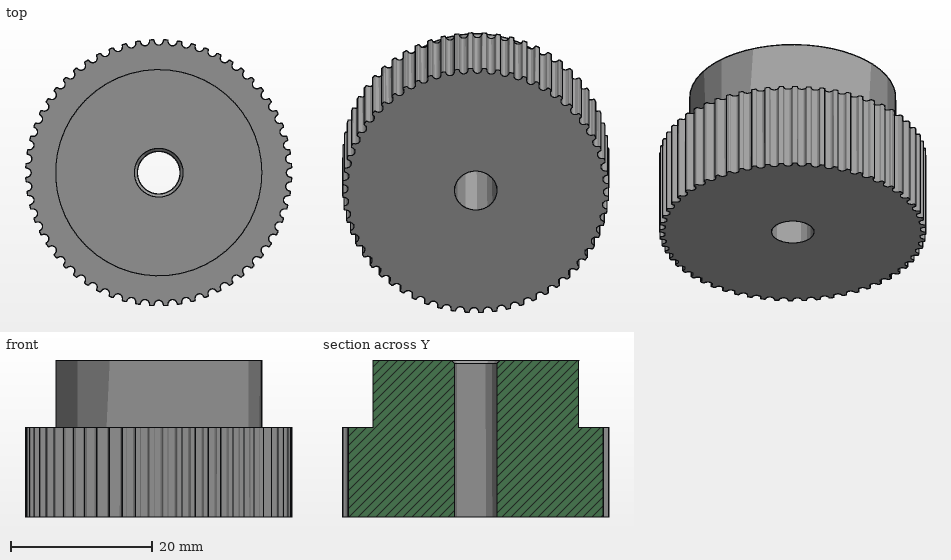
import math

import cadquery as cq

tooth_count = 60
rim_diameter = 37.7
rim_height = 12.7

groove_depth = 0.77
flank_radius = 1.0
flank_center_offset = 0.35
tip_fillet = 0.15

hub_diameter = 29.2
total_height = 22.2
bore_diameter = 6.0
bore_chamfer = 0.45

rim_radius = rim_diameter / 2
hub_height = total_height - rim_height
tooth_angle = 2 * math.pi / tooth_count

bottom_radius = (flank_radius**2 - flank_center_offset**2 - groove_depth**2) / (
    2 * (flank_radius - groove_depth)
)


def polar(radius, angle, center=(0, 0)):
    """Point at a radius and angle (radians) from a centre."""
    return center[0] + radius * math.cos(angle), center[1] + radius * math.sin(angle)


def half_groove_points():
    """Points of the +Y half of the groove centred on +X, from the tooth tip to the groove bottom.

    They are the ends and middles of three tangent arcs: corner fillet, flank and groove bottom.
    """
    flank_center = (rim_radius, -flank_center_offset)

    center_radius = rim_radius - tip_fillet
    center_distance = math.hypot(*flank_center)
    angle_at_axis = math.acos(
        (center_radius**2 + center_distance**2 - (flank_radius + tip_fillet) ** 2)
        / (2 * center_radius * center_distance)
    )
    fillet_start_angle = math.atan2(flank_center[1], flank_center[0]) + angle_at_axis
    fillet_center = polar(center_radius, fillet_start_angle)

    flank_start_angle = math.atan2(fillet_center[1] - flank_center[1], fillet_center[0] - flank_center[0])
    flank_end_angle = math.atan2(flank_center_offset, bottom_radius - groove_depth)
    fillet_end_angle = flank_start_angle - math.pi
    return [
        polar(rim_radius, fillet_start_angle),
        polar(tip_fillet, (fillet_start_angle + fillet_end_angle) / 2, fillet_center),
        polar(flank_radius, flank_start_angle, flank_center),
        polar(flank_radius, (flank_start_angle + flank_end_angle) / 2, flank_center),
        polar(flank_radius, flank_end_angle, flank_center),
        (rim_radius - groove_depth, 0),
    ]


def turned(point, angle):
    """The point rotated about the part axis."""
    return polar(math.hypot(*point), math.atan2(point[1], point[0]) + angle)


def toothed_rim():
    """Extruded tooth outline, with the first groove centred on the +X axis."""
    upper_half = half_groove_points()
    lower_half = [(x, -y) for x, y in upper_half]
    groove = lower_half + upper_half[-2::-1]
    start = groove[0]
    outline = cq.Workplane("XY").moveTo(*start)
    for index in range(tooth_count):
        angle = index * tooth_angle
        for middle, end in zip(groove[1::2], groove[2::2]):
            outline = outline.threePointArc(turned(middle, angle), turned(end, angle))
        tip_middle = polar(rim_radius, angle + tooth_angle / 2)
        outline = outline.threePointArc(tip_middle, turned(start, angle + tooth_angle))
    return outline.close().extrude(rim_height)


def hub():
    """Plain round hub standing on the top of the rim."""
    return cq.Workplane("XY").workplane(offset=rim_height).circle(hub_diameter / 2).extrude(hub_height)


def add_bore(body):
    """Through bore, chamfered at the hub end."""
    bored = body.faces(">Z").workplane().hole(bore_diameter)
    bore_rim = cq.selectors.RadiusNthSelector(0)
    return bored.faces(">Z").edges(bore_rim).chamfer(bore_chamfer)


result = add_bore(toothed_rim().union(hub()))